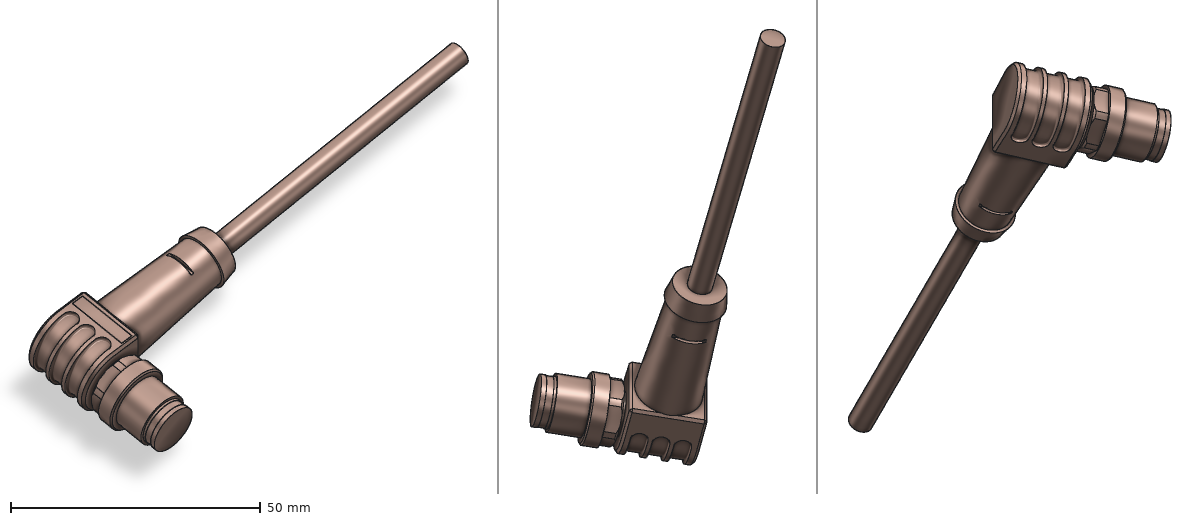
import cadquery as cq
import math


total_length = 114.7
total_width = 33.5

body_height = 15.9
body_width = 15.9
body_radius = body_height / 2
body_back = 8.1
side_taper = 4.0
body_edge = 0.6

groove_count = 3
groove_pitch = 4.5
groove_width = 3.5
groove_depth = 0.8
groove_tip = 2.6
groove_round = 0.5

label_length = 14.0
label_front = 3.9
label_back = 6.8
label_depth = 0.1

sleeve_base_radius = 7.0
sleeve_tip_radius = 5.7
collar_start = 33.5
collar_end = 37.6
collar_radius = 6.4
collar_tip_radius = 5.6
notch_place = 27.5
notch_width = 0.7
notch_floor = 4.9
cable_diameter = 5.2
cable_end = total_length - body_radius

connector_end = total_width - body_width / 2
neck_diameter = 9.3
hex_start = 8.7
hex_flats = 12.7
hex_corner_diameter = 13.9
hex_edge = 0.5
ring_start = 11.8
ring_end = 15.4
ring_diameter = 15.0
ring_edge = 0.3
thread_end = 22.4
thread_diameter = 12.0
tip_diameter = 10.8
tip_groove_diameter = 10.5
tip_groove_start = 22.9
tip_groove_end = 24.4

clearance = 5.7


def grip_solid(radius):
    """Rounded nose with tangent, slightly converging top and bottom faces."""
    angle = math.radians(side_taper)
    tangent_y = radius * math.sin(angle)
    tangent_z = radius * math.cos(angle)
    back_z = tangent_z - (body_back - tangent_y) * math.tan(angle)
    return (
        cq.Workplane("YZ")
        .moveTo(body_back, -back_z)
        .lineTo(tangent_y, -tangent_z)
        .threePointArc((-radius, 0), (tangent_y, tangent_z))
        .lineTo(body_back, back_z)
        .close()
        .extrude(body_width / 2, both=True)
    )


def groove_cutter(x):
    """Round-ended slot open at the nose, hollowed so that the groove floor stays in place."""
    half = groove_width / 2
    front = -body_radius - clearance
    slot = (
        cq.Workplane("XY")
        .moveTo(x - half, front)
        .lineTo(x + half, front)
        .lineTo(x + half, groove_tip - half)
        .threePointArc((x, groove_tip), (x - half, groove_tip - half))
        .close()
        .extrude(body_radius + clearance, both=True)
    )
    core = grip_solid(body_radius - groove_depth)
    reach = body_radius - groove_depth / 2
    floor_edges = cq.selectors.BoxSelector((-reach,) * 3, (reach,) * 3, boundingbox=True)
    return slot.cut(core).edges(floor_edges).fillet(groove_round)


def grip_body():
    body = grip_solid(body_radius)
    body = body.faces("<X or >X or >Y").edges().chamfer(body_edge)
    for i in range(groove_count):
        x = (i - (groove_count - 1) / 2) * groove_pitch
        body = body.cut(groove_cutter(x))
    return body


def label_recess():
    """Shallow rectangle sunk parallel to the sloping top face."""
    middle = (label_front + label_back) / 2
    angle = math.radians(side_taper)
    surface = (body_radius - middle * math.sin(angle)) / math.cos(angle)
    return (
        cq.Workplane("XY")
        .box(label_length, label_back - label_front, clearance, centered=(True, True, False))
        .rotate((0, 0, 0), (1, 0, 0), -side_taper)
        .translate((0, middle, surface - label_depth))
    )


def strain_relief():
    sleeve = (
        cq.Workplane("XY")
        .polyline([
            (0, 0),
            (sleeve_base_radius, 0),
            (sleeve_base_radius, body_back),
            (sleeve_tip_radius, collar_start),
            (collar_radius, collar_start),
            (collar_tip_radius, collar_end),
            (0, collar_end),
        ])
        .close()
        .revolve(360, (0, 0, 0), (0, 1, 0))
    )
    for side in (1, -1):
        notch = cq.Workplane("XY").box(2 * collar_radius, notch_width, clearance)
        sleeve = sleeve.cut(notch.translate((0, notch_place, side * (notch_floor + clearance / 2))))
    return sleeve


def cable():
    return cq.Workplane("XZ").circle(cable_diameter / 2).extrude(-cable_end)


def disc(start, end, diameter):
    return cq.Workplane("YZ", origin=(start, 0, 0)).circle(diameter / 2).extrude(end - start)


def hexagon():
    """Hexagon with turned-down corners, bevelled at the grip end; two corners lie on the Z axis."""
    across_corners = hex_flats / math.cos(math.pi / 6)
    prism = (
        cq.Workplane("YZ", origin=(hex_start, 0, 0))
        .transformed(rotate=(0, 0, 90))
        .polygon(6, across_corners)
        .extrude(ring_start - hex_start)
    )
    blank = disc(hex_start, ring_start, hex_corner_diameter).faces("<X").edges().chamfer(hex_edge)
    return prism.intersect(blank)


def connector():
    ring = disc(ring_start, ring_end, ring_diameter).faces(">X").edges().chamfer(ring_edge)
    return (
        disc(0, hex_start, neck_diameter)
        .union(hexagon())
        .union(ring)
        .union(disc(ring_end, thread_end, thread_diameter))
        .union(disc(thread_end, tip_groove_start, tip_diameter))
        .union(disc(tip_groove_start, tip_groove_end, tip_groove_diameter))
        .union(disc(tip_groove_end, connector_end, tip_diameter))
    )


result = (
    grip_body()
    .cut(label_recess())
    .union(strain_relief())
    .union(cable())
    .union(connector())
)